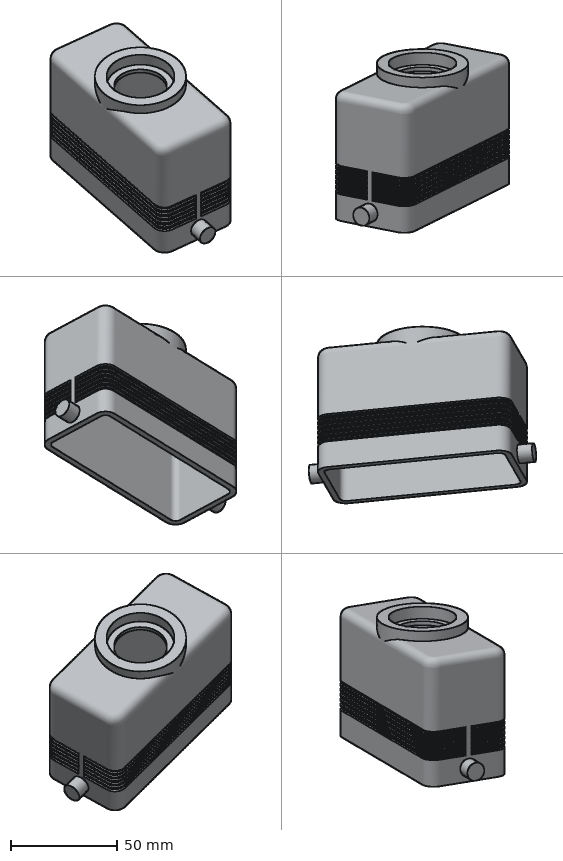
import cadquery as cq
import math

total_length = 108.0
total_height = 68.0

body_length = 93.5
body_width = 43.0
body_height = 63.1
corner_radius = 6.0
top_edge_radius = 4.1
wall = 3.0

collar_diameter = body_width
bore_diameter = 25.0
counterbore_diameter = 32.0
counterbore_depth = 6.0

groove_count = 6
groove_pitch = 2.5
groove_depth = 0.9
groove_floor = 0.8
groove_flank_angle = math.radians(30)
groove_opening = groove_floor + 2 * groove_depth * math.tan(groove_flank_angle)
groove_band_bottom = 13.2
groove_gap = 3.0

peg_diameter = 9.0
peg_height = 7.0


def rounded_prism(length, width, height, radius):
    return cq.Workplane("XY").rect(length, width).extrude(height).edges("|Z").fillet(radius)


def hood_body():
    body = rounded_prism(body_length, body_width, body_height, corner_radius)
    return body.faces(">Z").edges().fillet(top_edge_radius)


def collar():
    base = body_height - top_edge_radius
    disc = cq.Workplane("XY").circle(collar_diameter / 2).extrude(total_height - base)
    return disc.translate((0, 0, base))


def peg_bar():
    return (
        cq.Workplane("YZ")
        .center(0, peg_height)
        .circle(peg_diameter / 2)
        .extrude(total_length / 2, both=True)
    )


def cavity():
    return rounded_prism(
        body_length - 2 * wall,
        body_width - 2 * wall,
        body_height - wall,
        corner_radius - wall,
    )


def cable_bore():
    bore = cq.Workplane("XY").circle(bore_diameter / 2).extrude(total_height)
    counterbore = cq.Workplane("XY").circle(counterbore_diameter / 2).extrude(counterbore_depth)
    return bore.union(counterbore.translate((0, 0, total_height - counterbore_depth)))


def groove_ring():
    body = rounded_prism(body_length, body_width, body_height, corner_radius)
    outline = body.faces("<Z").wires()
    ring = (
        cq.Workplane("YZ")
        .center(-body_width / 2, 0)
        .moveTo(0, -groove_opening / 2)
        .lineTo(groove_depth, -groove_floor / 2)
        .lineTo(groove_depth, groove_floor / 2)
        .lineTo(0, groove_opening / 2)
        .close()
        .sweep(outline)
    )
    gap_strip = cq.Workplane("XY").box(total_length, groove_gap, groove_opening)
    return ring.cut(gap_strip)


hood = hood_body().union(collar()).union(peg_bar())
hood = hood.cut(cavity()).cut(cable_bore())

ring = groove_ring()
lowest_groove = groove_band_bottom + groove_opening / 2
for index in range(groove_count):
    hood = hood.cut(ring.translate((0, 0, lowest_groove + index * groove_pitch)))

result = hood